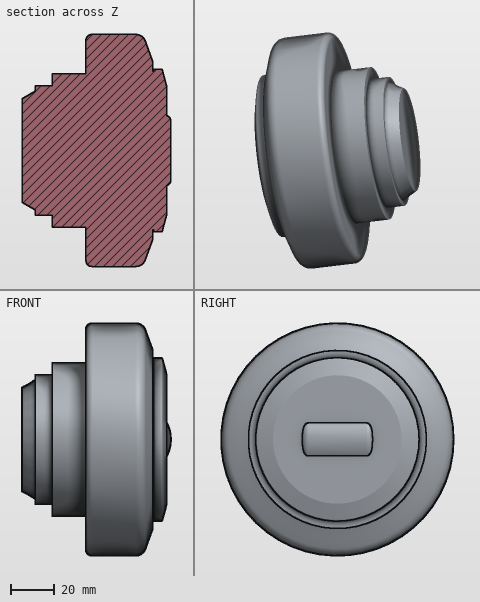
import cadquery as cq
import math

lead_in_end = 6.1
pilot_end = 14.0
hub_end = 29.5
flange_end = 60.6
neck_end = 61.0
cap_end = 67.1
total_length = 69.0

nose_radius = 24.0
pilot_radius = 30.0
hub_radius = 35.5
flange_radius = 53.8
neck_radius = 36.8
cap_radius = 37.8

lead_in_angle = math.radians(30)
flange_back_fillet = 3.0
flange_front_fillet = 5.0
flange_front_fillet_start = 52.5
flange_cone_angle = math.radians(20)
cap_fillet = 1.0
cap_fillet_start = 64.2
cap_cone_angle = math.radians(15)

crown_radius = 16.0
crown_length = 33.0
crown_fillet = 3.0


def round_into_cone(profile, start_x, outer_radius, fillet, angle, end_x):
    """Round off a cylinder into a tangent cone that narrows towards end_x."""
    center_radius = outer_radius - fillet

    def arc_point(turn):
        return (start_x + fillet * math.sin(turn), center_radius + fillet * math.cos(turn))

    full_turn = math.pi / 2 - angle
    tangent_x, tangent_radius = arc_point(full_turn)
    end_radius = tangent_radius - (end_x - tangent_x) / math.tan(angle)
    return (
        profile.lineTo(start_x, outer_radius)
        .threePointArc(arc_point(full_turn / 2), (tangent_x, tangent_radius))
        .lineTo(end_x, end_radius)
    )


def make_turned_body():
    """Revolve the stepped half profile about the X axis."""
    lead_in_radius = nose_radius + lead_in_end * math.tan(lead_in_angle)
    profile = (
        cq.Workplane("XY")
        .lineTo(0, nose_radius)
        .lineTo(lead_in_end, lead_in_radius)
        .lineTo(lead_in_end, pilot_radius)
        .lineTo(pilot_end, pilot_radius)
        .lineTo(pilot_end, hub_radius)
        .lineTo(hub_end, hub_radius)
        .lineTo(hub_end, flange_radius - flange_back_fillet)
        .radiusArc((hub_end + flange_back_fillet, flange_radius), flange_back_fillet)
    )
    profile = round_into_cone(
        profile, flange_front_fillet_start, flange_radius,
        flange_front_fillet, flange_cone_angle, flange_end,
    )
    profile = (
        profile.lineTo(flange_end, neck_radius)
        .lineTo(neck_end, neck_radius)
        .lineTo(neck_end, cap_radius)
    )
    profile = round_into_cone(
        profile, cap_fillet_start, cap_radius, cap_fillet, cap_cone_angle, cap_end,
    )
    return profile.lineTo(cap_end, 0).close().revolve(360, (0, 0, 0), (1, 0, 0))


def make_crown():
    """Cylinder along Y with rounded ends, its side reaching the far end of the part."""
    return (
        cq.Workplane("XZ")
        .center(total_length - crown_radius, 0)
        .circle(crown_radius)
        .extrude(crown_length / 2, both=True)
        .edges("%CIRCLE")
        .fillet(crown_fillet)
    )


result = make_turned_body().union(make_crown())